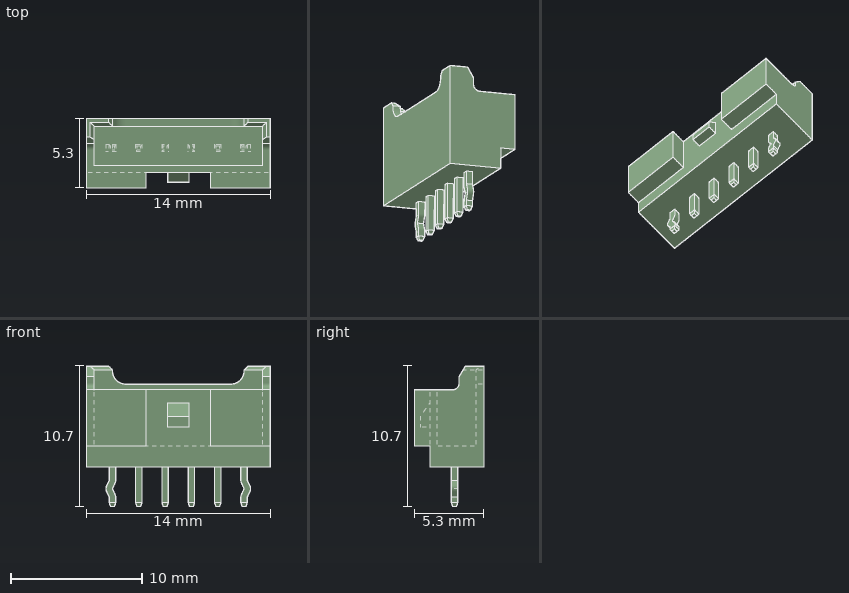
import cadquery as cq
import math


length = 14.0
height = 7.7
front_wall_y = -4.13
block_front_y = -5.3

rim_z = 5.9
block_bottom_z = 1.6
end_wall_reach = 1.92
end_slope_run = 0.49
end_slope_drop = 0.81
end_fillet = 0.49

block_gap = 4.9
tooth_width = 1.64
tooth_reach = 0.73
tooth_bottom_z = 3.07
tooth_edge_z = 3.86
tooth_top_z = 4.89

wall = 0.6
cavity_front_y = -3.58
cavity_floor_z = block_bottom_z
lead_in = 0.31

corner_width = 2.0
window_depth = 1.37
window_fillet = 1.0

pin_count = 6
pin_pitch = 2.0
pin_width = 0.5
pin_length = 3.0
pin_row_y = -2.25
tip_length = 0.3
tip_width = 0.3
kink_start = 1.0
kink_angle = 25.0
kink_leg = 0.48

shank_length = pin_length - tip_length


def make_shell():
    """Side outline run along the full length of the housing."""
    return (
        cq.Workplane("YZ")
        .moveTo(0, 0)
        .lineTo(0, height)
        .lineTo(end_slope_run - end_wall_reach, height)
        .lineTo(-end_wall_reach, height - end_slope_drop)
        .lineTo(-end_wall_reach, rim_z + end_fillet)
        .radiusArc((-end_wall_reach - end_fillet, rim_z), end_fillet)
        .lineTo(block_front_y, rim_z)
        .lineTo(block_front_y, block_bottom_z)
        .lineTo(front_wall_y, block_bottom_z)
        .lineTo(front_wall_y, 0)
        .close()
        .extrude(length / 2, both=True)
    )


def make_block_gap():
    """Space between the two front blocks."""
    return cq.Workplane("XY").box(
        block_gap, front_wall_y - block_front_y, rim_z, centered=(True, False, False)
    ).translate((0, block_front_y, 0))


def make_cavity():
    """Rectangular pocket, widened by the lead-in chamfer at the tall rim."""
    cavity_length = length - 2 * wall
    cavity_width = -wall - cavity_front_y
    center_y = (cavity_front_y - wall) / 2
    pocket = (
        cq.Workplane("XY", origin=(0, center_y, cavity_floor_z))
        .rect(cavity_length, cavity_width)
        .extrude(height - cavity_floor_z)
    )
    chamfer = (
        cq.Workplane("XY", origin=(0, center_y, height - lead_in))
        .rect(cavity_length, cavity_width)
        .workplane(offset=lead_in)
        .rect(cavity_length + 2 * lead_in, cavity_width + 2 * lead_in)
        .loft(ruled=True)
    )
    return pocket.union(chamfer)


def make_back_window():
    """Opening that lowers the back wall, with sloped top corners and round lower ones."""
    side_x = length / 2 - corner_width
    floor_x = side_x - window_fillet
    floor_z = height - window_depth
    return (
        cq.Workplane("XZ")
        .moveTo(-side_x - lead_in, height)
        .lineTo(-side_x, height - lead_in)
        .lineTo(-side_x, floor_z + window_fillet)
        .radiusArc((-floor_x, floor_z), -window_fillet)
        .lineTo(floor_x, floor_z)
        .radiusArc((side_x, floor_z + window_fillet), -window_fillet)
        .lineTo(side_x, height - lead_in)
        .lineTo(side_x + lead_in, height)
        .close()
        .extrude(wall)
    )


def make_tooth():
    """Latch tooth on the front wall, sloped on top."""
    tooth_front_y = front_wall_y - tooth_reach
    return (
        cq.Workplane("YZ")
        .moveTo(front_wall_y, tooth_bottom_z)
        .lineTo(tooth_front_y, tooth_bottom_z)
        .lineTo(tooth_front_y, tooth_edge_z)
        .lineTo(front_wall_y, tooth_top_z)
        .close()
        .extrude(tooth_width / 2, both=True)
    )


def make_housing():
    shell = make_shell().cut(make_block_gap())
    shell = shell.cut(make_cavity()).cut(make_back_window())
    return shell.union(make_tooth())


def make_tip():
    """Tapered end of a pin."""
    return (
        cq.Workplane("XY", origin=(0, 0, -shank_length))
        .rect(pin_width, pin_width)
        .workplane(offset=-tip_length)
        .rect(tip_width, tip_width)
        .loft(ruled=True)
    )


def make_straight_pin():
    shank = cq.Workplane("XY").rect(pin_width, pin_width).extrude(-shank_length)
    return shank.union(make_tip())


def make_kinked_pin():
    """Pin whose shank bulges toward +X: out at the first bend, back at the middle one."""
    half = pin_width / 2
    angle = math.radians(kink_angle)

    def swing(pivot, radius, turn):
        """Point at a radius from the pivot, turned from +X toward +Z."""
        return (pivot[0] + radius * math.cos(turn), pivot[1] + radius * math.sin(turn))

    rise = pin_width * math.sin(angle) + kink_leg * math.cos(angle)
    middle_z = -kink_start - rise
    upper_pivot = (half, -kink_start)
    lower_pivot = (half, middle_z - rise)
    upper_back = swing(upper_pivot, pin_width, math.pi + angle)
    lower_back = swing(lower_pivot, pin_width, math.pi - angle)
    inner_corner = (upper_back[0] + kink_leg * math.sin(angle), middle_z)

    shank = (
        cq.Workplane("XZ")
        .moveTo(-half, 0)
        .lineTo(half, 0)
        .lineTo(*upper_pivot)
        .lineTo(*swing(inner_corner, pin_width, angle))
        .threePointArc(swing(inner_corner, pin_width, 0), swing(inner_corner, pin_width, -angle))
        .lineTo(*lower_pivot)
        .lineTo(half, -shank_length)
        .lineTo(-half, -shank_length)
        .lineTo(-half, lower_pivot[1])
        .threePointArc(swing(lower_pivot, pin_width, math.pi - angle / 2), lower_back)
        .lineTo(*inner_corner)
        .lineTo(*upper_back)
        .threePointArc(swing(upper_pivot, pin_width, math.pi + angle / 2), (-half, -kink_start))
        .close()
        .extrude(half, both=True)
    )
    return shank.union(make_tip())


housing = make_housing()

row_end_x = (pin_count - 1) / 2 * pin_pitch

straight_pins = []
for index in range(1, pin_count - 1):
    pin_x = index * pin_pitch - row_end_x
    straight_pins.append(make_straight_pin().translate((pin_x, pin_row_y, 0)).val())

kinked_pins = []
for turn_angle, pin_x in [(180, -row_end_x), (0, row_end_x)]:
    kinked_pin = make_kinked_pin().rotate((0, 0, 0), (0, 0, 1), turn_angle)
    kinked_pins.append(kinked_pin.translate((pin_x, pin_row_y, 0)).val())

result = cq.Compound.makeCompound([housing.val(), *straight_pins, *kinked_pins])